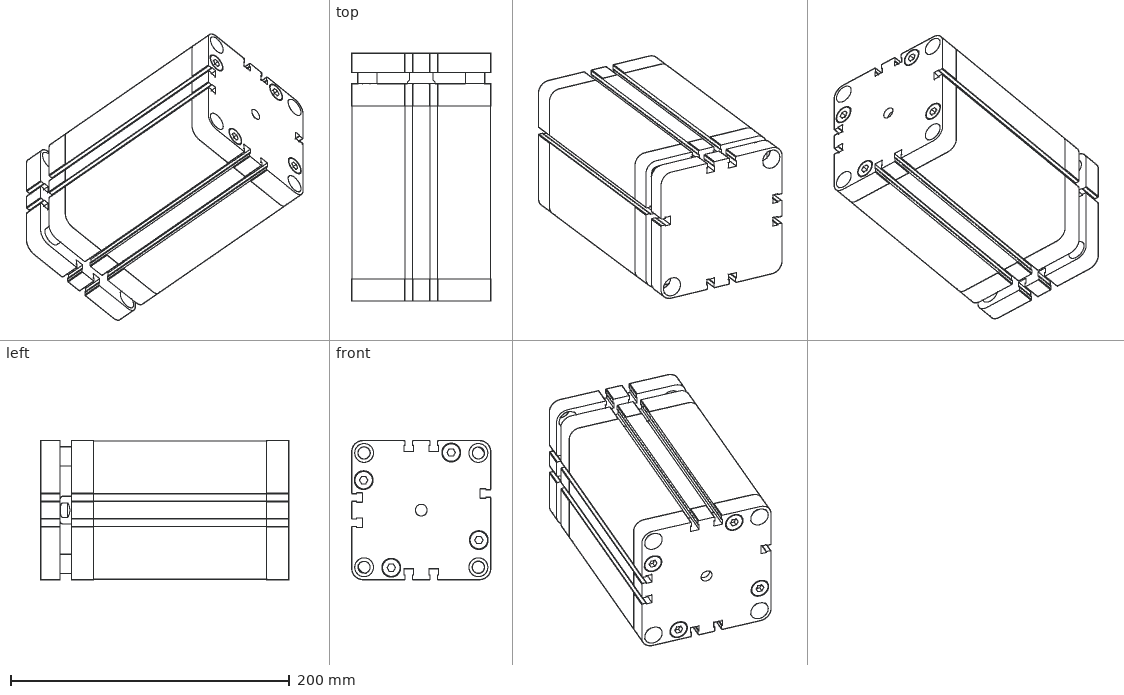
import cadquery as cq
import math

side = 100.0
half = side / 2
cap_length = 16.0
barrel_length = 124.0
gap = 8.0
plate_thickness = 14.0
cylinder_length = cap_length + barrel_length + cap_length
plate_front = cylinder_length + gap
cap_corner_radius = 8.5
barrel_side = 99.5
barrel_corner_radius = 7.5

slot_offset = 9.0
single_slot_offset = 11.9
slot_mouth_width = 5.2
slot_mouth_depth = 3.6
slot_pocket_width = 6.6
cap_slot_depth = 7.8
barrel_slot_depth = 8.0
slot_lip_chamfer = 0.5

corner_offset = 41.0
corner_bore_diameter = 13.5
corner_bore_depth = cap_length
corner_hole_diameter = 8.57
plate_hole_diameter = 14.0

port_diameter = 8.38
port_depth = 4.5

screw_inner_offset = 21.5
screw_outer_offset = 41.3
screw_bore_diameter = 13.5
screw_head_diameter = 12.5
screw_bore_depth = 6.0
socket_sides = 6
socket_across_flats = 5.2
socket_depth = 4.0

rod_diameter = 20.0
rod_end_radius = 2.0
flat_spacing = 17.0
flat_length = 5.4

guide_diameter = 14.0
guide_offset = 38.6


def at_y(y):
    """XZ workplane at the given Y, with local axes +X, +Z and normal -Y."""
    return cq.Workplane(cq.Plane(origin=(0, y, 0), xDir=(1, 0, 0), normal=(0, -1, 0)))


def block(y, length, width, corner_radius):
    """Square bar running along +Y with rounded long edges."""
    return at_y(y).rect(width, width).extrude(-length).edges("|Y").fillet(corner_radius)


def rod(x, z, diameter, y, length):
    return at_y(y).center(x, z).circle(diameter / 2).extrude(-length)


def slot(y, length, depth, offset, turn, lip_chamfer):
    """Slot cutter on the top face at X = offset, then turned about the Y axis."""
    mouth = slot_mouth_width / 2
    pocket = slot_pocket_width / 2
    right_edge = [
        (mouth + lip_chamfer, half),
        (mouth, half - lip_chamfer),
        (mouth, half - slot_mouth_depth),
        (pocket, half - slot_mouth_depth),
        (pocket, half - depth),
    ]
    if lip_chamfer == 0:
        right_edge = right_edge[1:]
    left_edge = [(-x, z) for x, z in reversed(right_edge)]
    profile = [(x + offset, z) for x, z in right_edge + left_edge]
    cutter = at_y(y).polyline(profile).close().extrude(-length)
    return cutter.rotate((0, 0, 0), (0, 1, 0), turn)


def cut_slots(body, y, length, depth, top_lip_chamfer):
    """Cut two slots on the top, bottom and left faces and one on the right face."""
    for offset in (-slot_offset, slot_offset):
        for turn in (0, 180):
            body = body.cut(slot(y, length, depth, offset, turn, top_lip_chamfer))
        body = body.cut(slot(y, length, depth, offset, -90, slot_lip_chamfer))
    return body.cut(slot(y, length, depth, -single_slot_offset, 90, slot_lip_chamfer))


def make_end_section(y, length):
    """End cap or tooling plate: full-size outline, every slot lip chamfered."""
    body = block(y, length, side, cap_corner_radius)
    return cut_slots(body, y, length, cap_slot_depth, slot_lip_chamfer)


def make_barrel():
    """Barrel: slightly smaller outline, sharp slot lips on the top and bottom."""
    body = block(cap_length, barrel_length, barrel_side, barrel_corner_radius)
    return cut_slots(body, cap_length, barrel_length, barrel_slot_depth, 0)


def make_cylinder():
    front_cap = make_end_section(0, cap_length)
    rear_cap = make_end_section(cap_length + barrel_length, cap_length)
    return front_cap.union(make_barrel()).union(rear_cap)


def cut_corner_holes(body):
    for x in (-corner_offset, corner_offset):
        for z in (-corner_offset, corner_offset):
            body = body.cut(rod(x, z, corner_bore_diameter, 0, corner_bore_depth))
            body = body.cut(rod(x, z, corner_hole_diameter, 0, cylinder_length))
    for x in (-corner_offset, corner_offset):
        body = body.cut(rod(x, -x, plate_hole_diameter, plate_front, plate_thickness))
    return body


def make_screw_recess(x, z):
    """Annular gap around a flush screw head, plus its hexagon socket."""
    ring = rod(x, z, screw_bore_diameter, 0, screw_bore_depth)
    ring = ring.cut(rod(x, z, screw_head_diameter, 0, screw_bore_depth))
    across_corners = socket_across_flats / math.cos(math.pi / socket_sides)
    socket = at_y(0).center(x, z).polygon(socket_sides, across_corners).extrude(-socket_depth)
    return ring.union(socket)


def cut_screws(body):
    x, z = screw_inner_offset, screw_outer_offset
    for _ in range(4):
        body = body.cut(make_screw_recess(x, z))
        x, z = z, -x
    return body


def make_piston_rod():
    """Rod with a rounded end and two flats that run out at 45 degrees."""
    piston_rod = rod(0, 0, rod_diameter, cylinder_length, gap).faces(">Y").edges().fillet(rod_end_radius)
    flat_x = flat_spacing / 2
    radius = rod_diameter / 2
    flat_start = plate_front - flat_length
    runout_start = flat_start - (radius - flat_x)
    for direction in (-1, 1):
        profile = [
            (direction * radius, runout_start),
            (direction * flat_x, flat_start),
            (direction * flat_x, plate_front),
            (direction * radius, plate_front),
        ]
        cutter = cq.Workplane("XY").polyline(profile).close().extrude(radius, both=True)
        piston_rod = piston_rod.cut(cutter)
    return piston_rod


def add_guide_rods(body):
    for position in (-guide_offset, guide_offset):
        body = body.union(rod(position, position, guide_diameter, cylinder_length, gap))
    return body


plate = make_end_section(plate_front, plate_thickness)
result = cut_corner_holes(make_cylinder().union(plate))
result = cut_screws(result)
result = result.cut(rod(0, 0, port_diameter, 0, port_depth))
result = result.union(make_piston_rod())
result = add_guide_rods(result)